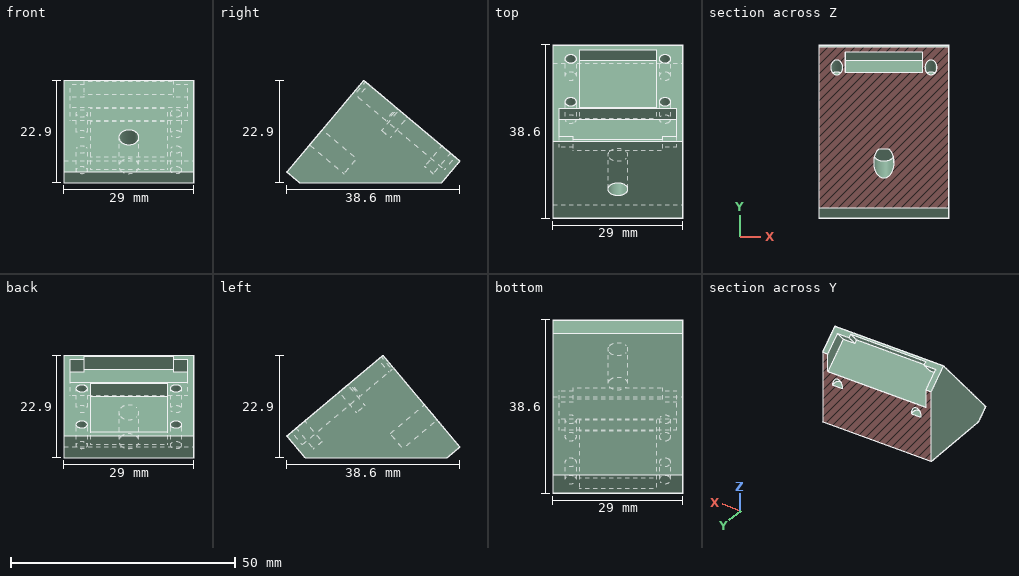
import cadquery as cq
import math

TILT = math.radians(40)
WIDTH = 29.0
HEIGHT = 22.92
MOUNT_FACE_LENGTH = 28.0
FRONT_FACE_LENGTH = 26.7

POCKET_DEPTH = 3.7
UPPER_POCKET_WIDTH = 26.2
UPPER_POCKET_START = 1.4
UPPER_POCKET_END = 9.5
RELIEF_WIDTH = 20.0
RELIEF_START = 0.5
LOWER_POCKET_WIDTH = 17.2
LOWER_POCKET_START = 9.8
LOWER_POCKET_END = 26.6

SCREW_DIAMETER = 2.5
SCREW_DEPTH = 6.0
SCREW_SPACING_X = 21.0
SCREW_DISTANCES = (11.5, 24.0)

FRONT_HOLE_DIAMETER = 4.4
FRONT_HOLE_DEPTH = 10.0
FRONT_HOLE_DISTANCE = 16.6

RIDGE = (0, 0, HEIGHT)
DOWN_REAR = (math.cos(TILT), -math.sin(TILT))
DOWN_FRONT = (-math.sin(TILT), -math.cos(TILT))

mount_plane = cq.Plane(origin=RIDGE, xDir=(-1, 0, 0), normal=(0, math.sin(TILT), math.cos(TILT)))
front_plane = cq.Plane(origin=RIDGE, xDir=(1, 0, 0), normal=(0, -math.cos(TILT), math.sin(TILT)))


def wedge_body():
    """Pentagonal side outline extruded symmetrically across the width."""
    rear_y = MOUNT_FACE_LENGTH * DOWN_REAR[0]
    rear_z = HEIGHT + MOUNT_FACE_LENGTH * DOWN_REAR[1]
    front_y = FRONT_FACE_LENGTH * DOWN_FRONT[0]
    front_z = HEIGHT + FRONT_FACE_LENGTH * DOWN_FRONT[1]
    outline = [
        (0, HEIGHT),
        (rear_y, rear_z),
        (rear_y - rear_z * math.tan(TILT), 0),
        (front_y + front_z / math.tan(TILT), 0),
        (front_y, front_z),
    ]
    return cq.Workplane("YZ").polyline(outline).close().extrude(WIDTH / 2, both=True)


def mount_pocket(width, start, end):
    """Cutter for a rectangular pocket between two distances down the slope."""
    return (
        cq.Workplane(mount_plane)
        .center(0, -(start + end) / 2)
        .rect(width, end - start)
        .extrude(-POCKET_DEPTH)
    )


def screw_holes():
    """Cutter for the screw holes, in two rows across the mounting face."""
    centers = [(side * SCREW_SPACING_X / 2, -row) for row in SCREW_DISTANCES for side in (-1, 1)]
    return cq.Workplane(mount_plane).pushPoints(centers).circle(SCREW_DIAMETER / 2).extrude(-SCREW_DEPTH)


def front_hole():
    """Cutter for the single hole centred across the front face."""
    return (
        cq.Workplane(front_plane)
        .center(0, -FRONT_HOLE_DISTANCE)
        .circle(FRONT_HOLE_DIAMETER / 2)
        .extrude(-FRONT_HOLE_DEPTH)
    )


result = (
    wedge_body()
    .cut(mount_pocket(UPPER_POCKET_WIDTH, UPPER_POCKET_START, UPPER_POCKET_END))
    .cut(mount_pocket(RELIEF_WIDTH, RELIEF_START, UPPER_POCKET_END))
    .cut(mount_pocket(LOWER_POCKET_WIDTH, LOWER_POCKET_START, LOWER_POCKET_END))
    .cut(screw_holes())
    .cut(front_hole())
)